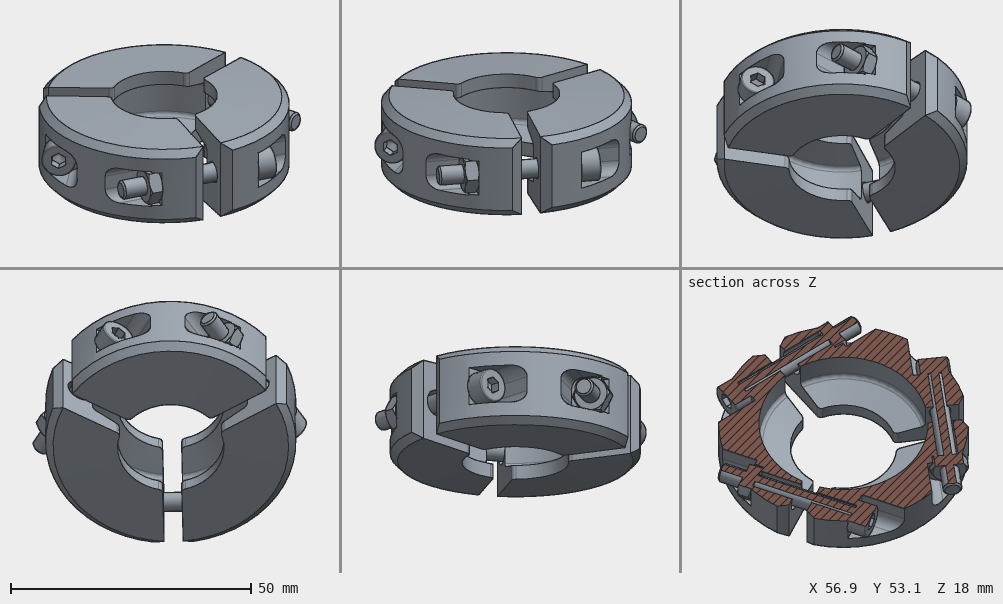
import cadquery as cq
import math

SEGMENTS = 3
OUTER_RADIUS = 26.0
BORE_RADIUS = 11.05
HEIGHT = 18.0
FACE_SLOPE = 2.0
RIM_CHAMFER = 1.55
SLIT_WIDTH = 4.0
END_FLAT = 20.15
BORE_CORNER_FILLET = 1.0

GROOVE_RADIUS = 17.5
LIP_HALF_HEIGHT = 6.0
GROOVE_TAPER = 15.0
GROOVE_FILLET = 1.0

SCREW_DISTANCE = 20.5
SCREW_DIAMETER = 4.0
SCREW_TIP = 18.95
TIP_CHAMFER = 0.4
HEAD_DIAMETER = 7.0
HEAD_LENGTH = 4.05
HEAD_EDGE_FILLET = 0.2
SOCKET_FLATS = 3.0
SOCKET_DEPTH = 2.0
SOCKET_POINT_ANGLE = 120.0
NUT_FLATS = 7.0
NUT_HEIGHT = 2.85
NUT_CHAMFER_ANGLE = 30.0

SEAT_OFFSET = 10.9
HEAD_SIDE_HOLE = 4.5
NUT_SIDE_HOLE = 5.5
POCKET_WIDTH = 8.0
POCKET_FLOOR = 16.0
POCKET_CORNER_RADIUS = 2.5
NUT_POCKET_OFFSET = 12.8
NUT_RECESS_FLATS = 7.5

CLEAR = 34.15


def tan_deg(angle):
    return math.tan(math.radians(angle))


def hex_corner(flats):
    """Circumscribed diameter of a hexagon from its width across flats."""
    return flats / math.cos(math.radians(30))


def hex_prism(flats, start, length):
    """Hexagonal prism along the screw axis, with corners facing in and out of the ring."""
    return (cq.Workplane("YZ", origin=(start, SCREW_DISTANCE, 0))
            .polygon(6, hex_corner(flats)).extrude(length))


def screw_cylinder(diameter, start, length):
    return (cq.Workplane("YZ", origin=(start, SCREW_DISTANCE, 0))
            .circle(diameter / 2).extrude(length))


def revolve_about_screw(points):
    """Revolve (position along screw, radius) points around the screw axis."""
    return (cq.Workplane("XY", origin=(0, SCREW_DISTANCE, 0))
            .polyline(points).close().revolve(360, (0, 0, 0), (1, 0, 0)))


def ring_blank():
    """Solid disc with gently coned faces and a chamfered rim."""
    face_radius = OUTER_RADIUS - RIM_CHAMFER
    centre_z = HEIGHT / 2 + BORE_RADIUS * tan_deg(FACE_SLOPE)
    face_edge_z = centre_z - face_radius * tan_deg(FACE_SLOPE)
    rim_z = face_edge_z - RIM_CHAMFER
    return (cq.Workplane("XZ")
            .polyline([(0, -centre_z), (face_radius, -face_edge_z), (OUTER_RADIUS, -rim_z),
                       (OUTER_RADIUS, rim_z), (face_radius, face_edge_z), (0, centre_z)])
            .close().revolve(360, (0, 0, 0), (0, 1, 0)))


def groove():
    """Ring-shaped cutter for the tapered groove; its corners are rounded."""
    wall_z = LIP_HALF_HEIGHT - (GROOVE_RADIUS - BORE_RADIUS) * tan_deg(GROOVE_TAPER)
    centre_z = LIP_HALF_HEIGHT + BORE_RADIUS * tan_deg(GROOVE_TAPER)
    cutter = (cq.Workplane("XZ")
              .polyline([(0, -centre_z), (GROOVE_RADIUS, -wall_z),
                         (GROOVE_RADIUS, wall_z), (0, centre_z)])
              .close().revolve(360, (0, 0, 0), (0, 1, 0)))
    return cutter.edges("%CIRCLE").fillet(GROOVE_FILLET)


def segment_prism():
    """Outline of the segment on the -Y side, between two slits."""
    apex_y = -SLIT_WIDTH / 2 / math.cos(math.radians(30))
    flat_y = apex_y - END_FLAT * tan_deg(30)
    prism = (cq.Workplane("XY")
             .polyline([(0, apex_y), (-END_FLAT, flat_y), (-END_FLAT, -CLEAR),
                        (END_FLAT, -CLEAR), (END_FLAT, flat_y)])
             .close().extrude(HEIGHT / 2, both=True)
             .cut(cq.Workplane("XY").circle(BORE_RADIUS).extrude(HEIGHT / 2, both=True)))
    return prism.edges("|Z").edges(">Y").fillet(BORE_CORNER_FILLET)


def pocket(start, length):
    """Pocket along the screw, open to the outside, with rounded floor corners."""
    return (cq.Workplane("YZ", origin=(start, 0, 0))
            .center((POCKET_FLOOR + CLEAR) / 2, 0)
            .rect(CLEAR - POCKET_FLOOR, POCKET_WIDTH).extrude(length)
            .edges("|X").edges("<Y").fillet(POCKET_CORNER_RADIUS))


def screw_openings():
    """Everything cut for one screw; the head is on the -X side, the nut on the +X side."""
    recess_depth = NUT_POCKET_OFFSET - SEAT_OFFSET
    recess_mouth = (cq.Workplane("YZ", origin=(SEAT_OFFSET, 0, 0))
                    .center((SCREW_DISTANCE + CLEAR) / 2, 0)
                    .rect(CLEAR - SCREW_DISTANCE, NUT_RECESS_FLATS).extrude(recess_depth))
    return [pocket(-SEAT_OFFSET, SEAT_OFFSET - CLEAR),
            pocket(NUT_POCKET_OFFSET, CLEAR - NUT_POCKET_OFFSET),
            hex_prism(NUT_RECESS_FLATS, SEAT_OFFSET, recess_depth),
            recess_mouth,
            screw_cylinder(HEAD_SIDE_HOLE, -SEAT_OFFSET, SEAT_OFFSET),
            screw_cylinder(NUT_SIDE_HOLE, 0, SEAT_OFFSET)]


def socket():
    """Hexagonal socket with a conical bottom, sunk into the head end."""
    head_end = -SEAT_OFFSET - HEAD_LENGTH
    radius = hex_corner(SOCKET_FLATS) / 2
    point_depth = radius / tan_deg(SOCKET_POINT_ANGLE / 2)
    drill = revolve_about_screw([(head_end, 0), (head_end, radius),
                                 (head_end + SOCKET_DEPTH, radius),
                                 (head_end + SOCKET_DEPTH + point_depth, 0)])
    hexagon = hex_prism(SOCKET_FLATS, head_end, HEAD_LENGTH).rotate(
        (0, SCREW_DISTANCE, 0), (1, SCREW_DISTANCE, 0), 90)
    return hexagon.intersect(drill)


def screw():
    head = (screw_cylinder(HEAD_DIAMETER, -SEAT_OFFSET, -HEAD_LENGTH)
            .faces("<X").edges().fillet(HEAD_EDGE_FILLET))
    shank = (screw_cylinder(SCREW_DIAMETER, -SEAT_OFFSET, SEAT_OFFSET + SCREW_TIP)
             .faces(">X").chamfer(TIP_CHAMFER))
    return head.cut(socket()).union(shank)


def nut():
    """Hexagon nut with its corners chamfered on both sides."""
    flat_radius = NUT_FLATS / 2
    corner_radius = hex_corner(NUT_FLATS) / 2
    chamfer = (corner_radius - flat_radius) * tan_deg(NUT_CHAMFER_ANGLE)
    nut_end = SEAT_OFFSET + NUT_HEIGHT
    envelope = revolve_about_screw([(SEAT_OFFSET, 0), (SEAT_OFFSET, flat_radius),
                                    (SEAT_OFFSET + chamfer, corner_radius),
                                    (nut_end - chamfer, corner_radius),
                                    (nut_end, flat_radius), (nut_end, 0)])
    return hex_prism(NUT_FLATS, SEAT_OFFSET, NUT_HEIGHT).intersect(envelope)


def around_ring(shape, index):
    return shape.rotate((0, 0, 0), (0, 0, 1), index * 360 / SEGMENTS)


segment = ring_blank().intersect(segment_prism()).cut(groove())
openings = screw_openings()
fastener = screw().union(nut())

ring = around_ring(segment, 0)
for index in range(1, SEGMENTS):
    ring = ring.union(around_ring(segment, index))
for index in range(SEGMENTS):
    for opening in openings:
        ring = ring.cut(around_ring(opening, index))
for index in range(SEGMENTS):
    ring = ring.union(around_ring(fastener, index))

result = ring